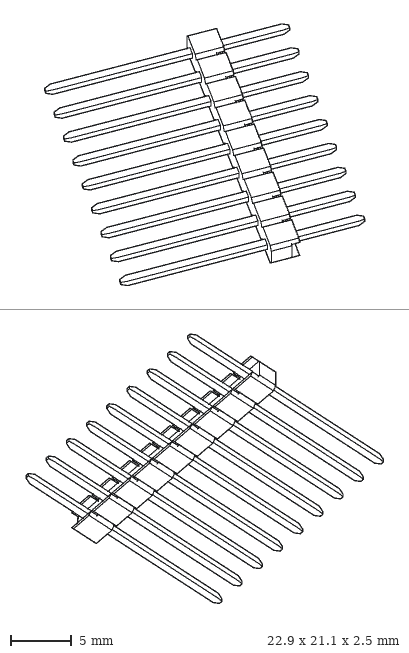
import cadquery as cq

pin_count = 9
row_length = 22.85
pitch = row_length / pin_count
body_depth = 2.5
body_height = 2.5
corner_width = 0.3
corner_height = 0.41

channel_depth = 0.7
channel_height = 1.85

pin_width = 0.65
tip_width = 0.32
tip_length = 0.55
front_reach = 12.62
rear_reach = 6.0
pin_shift = -0.103

front_y = -body_depth / 2
rear_y = body_depth / 2
block_centres = [(i - (pin_count - 1) / 2) * pitch for i in range(pin_count)]


def make_block(centre_x):
    """One eight-sided block; neighbours meet to leave V notches above and below."""
    side_x = pitch / 2
    flat_x = side_x - corner_width
    top_z = body_height / 2
    side_z = top_z - corner_height
    outline = [
        (-flat_x, -top_z),
        (flat_x, -top_z),
        (side_x, -side_z),
        (side_x, side_z),
        (flat_x, top_z),
        (-flat_x, top_z),
        (-side_x, side_z),
        (-side_x, -side_z),
    ]
    plane = cq.Workplane("XZ", origin=(centre_x, rear_y, 0))
    return plane.polyline(outline).close().extrude(body_depth)


def make_channel():
    """The cutter for the channel that runs the full length of the rear face."""
    channel = cq.Workplane("XY").box(row_length, channel_depth, channel_height)
    return channel.translate((0, rear_y - channel_depth / 2, 0))


def make_pin(centre_x):
    """A straight square pin through the body, tapered at both ends."""
    shaft_front = front_y - front_reach + tip_length
    shaft_rear = rear_y + rear_reach - tip_length
    shaft = (
        cq.Workplane("XZ", origin=(centre_x, shaft_rear, 0))
        .rect(pin_width, pin_width)
        .extrude(shaft_rear - shaft_front)
    )
    return shaft.union(make_tip(centre_x, shaft_front, -1)).union(make_tip(centre_x, shaft_rear, 1))


def make_tip(centre_x, base_y, direction):
    """A square taper that starts at base_y and points along +Y (1) or -Y (-1)."""
    return (
        cq.Workplane("XZ", origin=(centre_x, base_y, 0))
        .rect(pin_width, pin_width)
        .workplane(offset=-direction * tip_length)
        .rect(tip_width, tip_width)
        .loft(ruled=True)
    )


body = make_block(block_centres[0])
for x in block_centres[1:]:
    body = body.union(make_block(x))
body = body.cut(make_channel())

result = body
for x in block_centres:
    result = result.union(make_pin(x + pin_shift))
result = result.clean()